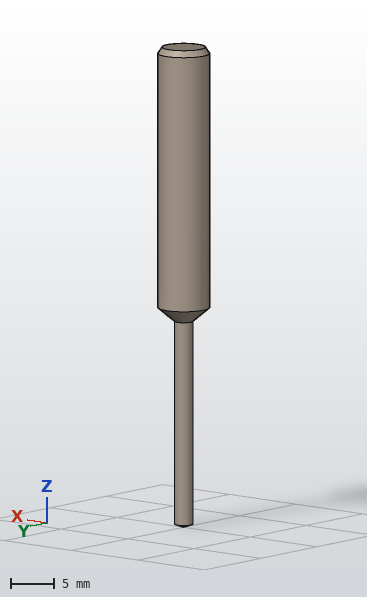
import cadquery as cq
import math

total_length = 56.0
shank_diameter = 6.0
neck_diameter = 2.1

shank_bottom = 24.0
top_chamfer_width = 0.5
top_chamfer_height = 0.7
taper_angle = 50.0

point_angle = 140.0

shank_radius = shank_diameter / 2
neck_radius = neck_diameter / 2
taper_height = (shank_diameter - neck_diameter) / 2 / math.tan(math.radians(taper_angle))
shank_straight_bottom = shank_bottom + taper_height
point_height = neck_radius / math.tan(math.radians(point_angle / 2))


def revolve_profile(points):
    """Revolve an (axis distance, height) outline around the Z axis."""
    return cq.Workplane("XZ").polyline(points).close().revolve(360, (0, 0), (0, 1))


def make_shank():
    """Cylindrical shank with a chamfered top and a conical shoulder."""
    return revolve_profile([
        (0, shank_bottom),
        (neck_radius, shank_bottom),
        (shank_radius, shank_straight_bottom),
        (shank_radius, total_length - top_chamfer_height),
        (shank_radius - top_chamfer_width, total_length),
        (0, total_length),
    ])


def make_drill():
    """Slender drill with a conical point, butted against the shank."""
    return revolve_profile([
        (0, 0),
        (neck_radius, point_height),
        (neck_radius, shank_bottom),
        (0, shank_bottom),
    ])


shank = make_shank()
drill = make_drill()
result = cq.Compound.makeCompound([shank.val(), drill.val()])